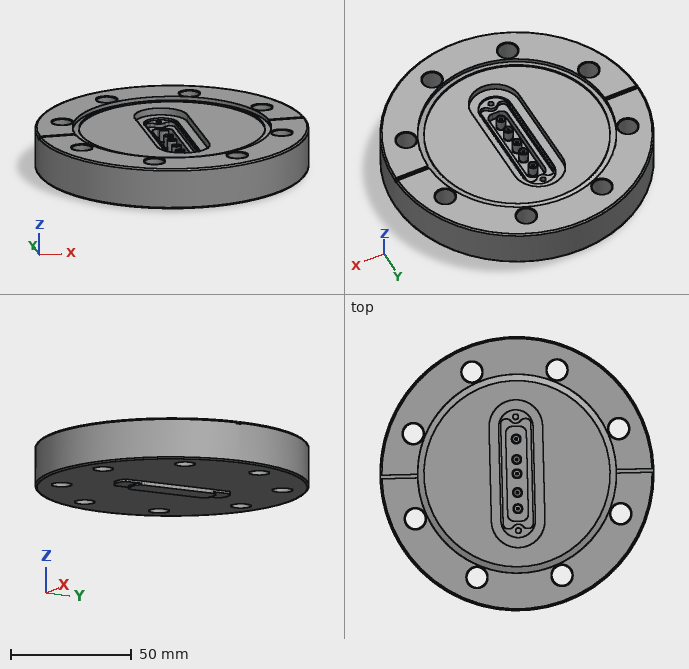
import cadquery as cq
import math

flange_diameter = 113.53
overall_height = 19.02
bottom_projection = 1.67
flange_thickness = overall_height - bottom_projection
rim_chamfer = 0.7
clocking_angle = 1.4

bolt_circle_diameter = 92.2
bolt_count = 8
bolt_hole_diameter = 8.4
bolt_hole_chamfer = 0.35

recess_diameter = 82.5
recess_depth = 1.7
knife_diameter = 77.2
knife_slope = 20.0
knife_drop = 0.75

groove_width = 1.5
groove_depth = 1.1

slot_length = 61.3
slot_width = 22.2
slot_depth = 2.95

insert_length = 53.0
insert_width = 14.3
insert_recess = 0.85
screw_spacing = 47.2
screw_hole_diameter = 2.26
screw_hole_depth = 8.0
trough_length = 45.6
trough_width = 12.5
trough_depth = 1.7
trough_corner_radius = 2.0
scallop_radius = 2.65
scallop_fillet = 2.2
pocket_length = 39.3
pocket_width = 8.6
pocket_depth = 3.6
pocket_corner_radius = 2.8

contact_positions = [14.4, 5.9, 0.0, -7.8, -14.5]
shell_diameter = 3.89
shell_bore_diameter = 3.17
pin_diameter = 0.96
shell_height = 5.0
pin_chamfer = 0.2

ear_width = 9.6
ear_projection = 0.95
back_length = 38.7
back_width = 10.0
back_corner_radius = 3.3

recess_radius = recess_diameter / 2
knife_radius = knife_diameter / 2
trough_bottom_level = flange_thickness - recess_depth
knife_level = trough_bottom_level + (recess_radius - knife_radius) * math.tan(math.radians(knife_slope))
floor_level = knife_level - knife_drop
slot_level = floor_level - slot_depth
insert_level = slot_level - insert_recess
trough_level = insert_level - trough_depth
pocket_level = trough_level - pocket_depth


def plane_at(level):
    return cq.Workplane("XY").workplane(offset=level)


def slot_prism(length, width, level, height):
    """Full-round slot along Y, extruded upwards from the level."""
    return plane_at(level).slot2D(length, width, 90).extrude(height)


def rounded_prism(length, width, radius, level, height):
    """Block along Y with rounded vertical edges, extruded upwards from the level."""
    return plane_at(level).rect(width, length).extrude(height).edges("|Z").fillet(radius)


def flange_blank():
    disc = cq.Workplane("XY").circle(flange_diameter / 2).extrude(flange_thickness)
    return disc.faces("<Z or >Z").chamfer(rim_chamfer)


def bolt_holes():
    mouth_radius = bolt_hole_diameter / 2 + bolt_hole_chamfer
    hole = (
        cq.Workplane("XZ")
        .lineTo(bolt_hole_diameter / 2, 0)
        .lineTo(bolt_hole_diameter / 2, flange_thickness - bolt_hole_chamfer)
        .lineTo(mouth_radius, flange_thickness)
        .lineTo(0, flange_thickness)
        .close()
        .revolve(360, (0, 0), (0, 1))
        .val()
    )
    pitch = 360 / bolt_count
    circle = cq.Workplane("XY").polarArray(bolt_circle_diameter / 2, pitch / 2, 360, bolt_count)
    return circle.eachpoint(lambda place: hole.moved(place), combine="a")


def sealing_recess():
    return (
        cq.Workplane("XZ")
        .moveTo(0, flange_thickness)
        .lineTo(recess_radius, flange_thickness)
        .lineTo(recess_radius, trough_bottom_level)
        .lineTo(knife_radius, knife_level)
        .lineTo(knife_radius, floor_level)
        .lineTo(0, floor_level)
        .close()
        .revolve(360, (0, 0), (0, 1))
    )


def leak_check_grooves():
    bar = plane_at(flange_thickness - groove_depth).rect(flange_diameter, groove_width).extrude(groove_depth)
    core = plane_at(flange_thickness - groove_depth).circle(recess_radius).extrude(groove_depth)
    return bar.cut(core)


def scalloped_trough():
    """Shallow trough whose ends curve inwards around the two screw holes."""
    trough = rounded_prism(trough_length, trough_width, trough_corner_radius, trough_level, trough_depth)
    posts = screw_points(trough_level).circle(scallop_radius).extrude(trough_depth)
    trough = trough.cut(posts)
    half_mouth = scallop_radius + scallop_fillet
    mouth_box = cq.selectors.BoxSelector(
        (-half_mouth, -trough_length, 0), (half_mouth, trough_length, overall_height)
    )
    return trough.edges("|Z").edges(mouth_box).fillet(scallop_fillet)


def screw_points(level):
    half = screw_spacing / 2
    return plane_at(level).pushPoints([(0, half), (0, -half)])


def screw_holes():
    bottom_level = insert_level - screw_hole_depth
    return screw_points(bottom_level).circle(screw_hole_diameter / 2).extrude(screw_hole_depth)


def contacts():
    centres = plane_at(pocket_level).pushPoints([(0, y) for y in contact_positions])
    shells = centres.circle(shell_diameter / 2).circle(shell_bore_diameter / 2).extrude(shell_height)
    pins = centres.circle(pin_diameter / 2).extrude(shell_height).faces(">Z").chamfer(pin_chamfer)
    return shells.union(pins)


def connector_back():
    ears = slot_prism(insert_length, insert_width, -ear_projection, ear_projection)
    ear_limit = plane_at(-ear_projection).rect(ear_width, insert_length).extrude(ear_projection)
    body = rounded_prism(
        back_length, back_width, back_corner_radius, -bottom_projection, bottom_projection
    )
    return ears.intersect(ear_limit).union(body)


part = flange_blank().union(connector_back())
part = part.cut(bolt_holes()).cut(sealing_recess()).cut(leak_check_grooves())
part = part.cut(slot_prism(slot_length, slot_width, slot_level, slot_depth))
part = part.cut(slot_prism(insert_length, insert_width, insert_level, insert_recess))
part = part.cut(scalloped_trough())
part = part.cut(rounded_prism(pocket_length, pocket_width, pocket_corner_radius, pocket_level, pocket_depth))
part = part.cut(screw_holes()).union(contacts())

result = part.rotate((0, 0, 0), (0, 0, 1), clocking_angle)